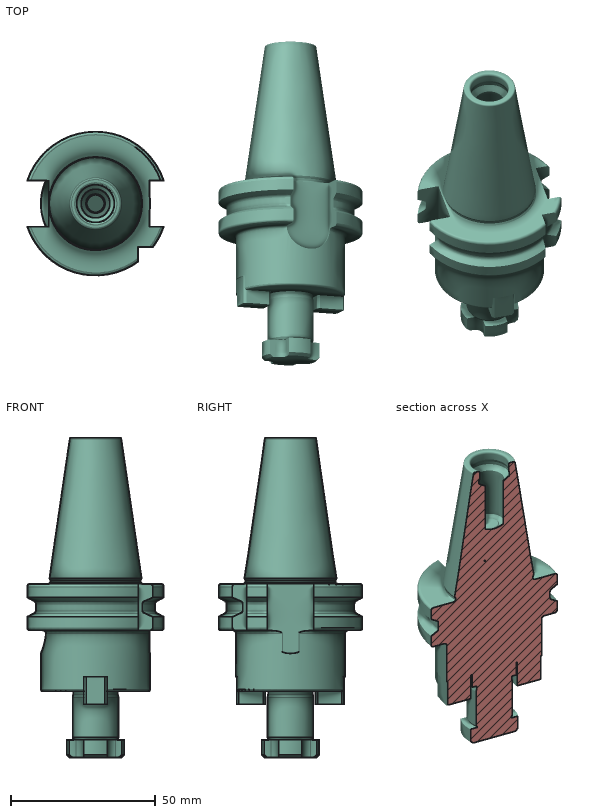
import cadquery as cq
import math


total_height = 110.8
head_top = 6.1
body_bottom = 22.9
key_bottom = 18.4
key_slot_top = 28.0
flange_bottom = 44.0
flange_top = 60.2
groove_mid = 52.1
gauge_height = 63.0
taper_bottom = 62.2

head_radius = 10.0
shaft_radius = 8.0
body_radius = 19.0
flange_radius = 24.9
groove_radius = 22.2
gauge_radius = 15.8
taper_slope = 7 / 48

head_chamfer = 1.0
tooth_width = 8.0
notch_corner_radius = 2.9

shaft_end_chamfer = 0.4
shaft_end_chamfer_height = 0.9
shaft_relief_depth = 0.2
shaft_relief_height = 1.0
shaft_relief_taper = 1.0

body_edge_radius = 0.8
body_top_radius = 0.9
key_width = 8.0
key_inner = 8.6
key_outer = 18.6
key_chamfer = 0.8

flange_edge_radius = 1.0
groove_mouth_width = 6.8
groove_root_radius = 1.0
groove_half_angle = 30
cut_clearance = 1.1

undercut_radius = 15.6
undercut_top = 61.4
undercut_bottom = 60.6
undercut_flare_radius = 16.2

slot_width = 16.0
left_slot_floor = 16.2
right_slot_floor = 18.7
notch_x = 14.7
notch_y = 15.1

mouth_fillet = 0.8
counterbore_radius = 6.5
relief_radius = 6.9
relief_start_depth = 3.1
relief_wall_depth = 4.1
relief_end_depth = 5.2
cone_end_depth = 6.6
bore_radius = 5.0
bore_depth = 24.4
bore_tip_slope = math.tan(math.radians(30))
plug_radius = 3.3
plug_chamfer = 0.3
taper_edge_radius = 0.5


def taper_radius(height):
    return gauge_radius - (height - gauge_height) * taper_slope


def revolve_profile(points):
    """Turn a closed outline of (radius, height) points about the Z axis."""
    return cq.Workplane("XZ").polyline(points).close().revolve(360, (0, 0), (0, 1))


def make_screw_head():
    head = cq.Workplane("XY").circle(head_radius).extrude(head_top)
    head = head.faces("<Z").edges().chamfer(head_chamfer)
    notch_size = head_radius
    notch_centre = tooth_width / 2 + notch_size / 2
    notches = (
        cq.Workplane("XY")
        .rect(2 * notch_centre, 2 * notch_centre, forConstruction=True)
        .vertices()
        .rect(notch_size, notch_size)
        .extrude(head_top)
        .edges("|Z")
        .fillet(notch_corner_radius)
    )
    return head.cut(notches)


def make_shaft():
    neck_radius = shaft_radius - shaft_relief_depth
    relief_bottom = body_bottom - shaft_relief_height
    return revolve_profile([
        (0, head_top),
        (shaft_radius - shaft_end_chamfer, head_top),
        (shaft_radius, head_top + shaft_end_chamfer_height),
        (shaft_radius, relief_bottom - shaft_relief_taper),
        (neck_radius, relief_bottom),
        (neck_radius, body_bottom),
        (0, body_bottom),
    ])


def make_body():
    body_height = flange_bottom - body_bottom
    body = cq.Workplane("XY").workplane(offset=body_bottom).circle(body_radius).extrude(body_height)
    return body.faces("<Z").edges().fillet(body_edge_radius)


def make_flange():
    flange_height = flange_top - flange_bottom
    flange = cq.Workplane("XY").workplane(offset=flange_bottom).circle(flange_radius).extrude(flange_height)
    flange = flange.edges().fillet(flange_edge_radius)

    mouth_half = groove_mouth_width / 2
    groove_depth = flange_radius - groove_radius
    root_half = mouth_half - groove_depth * math.tan(math.radians(groove_half_angle))
    outer_radius = flange_radius + cut_clearance
    groove = revolve_profile([
        (groove_radius, groove_mid - root_half),
        (flange_radius, groove_mid - mouth_half),
        (outer_radius, groove_mid - mouth_half),
        (outer_radius, groove_mid + mouth_half),
        (flange_radius, groove_mid + mouth_half),
        (groove_radius, groove_mid + root_half),
    ])
    root_edges = cq.selectors.RadiusNthSelector(0)
    groove = groove.edges("%CIRCLE").edges(root_edges).fillet(groove_root_radius)
    return flange.cut(groove)


def make_taper():
    return revolve_profile([
        (0, flange_top),
        (undercut_flare_radius, flange_top),
        (undercut_radius, undercut_bottom),
        (undercut_radius, undercut_top),
        (taper_radius(taper_bottom), taper_bottom),
        (taper_radius(total_height), total_height),
        (0, total_height),
    ])


def make_bore():
    """Counterbored blind hole with a relieved counterbore and a chamfered plug at its bottom."""
    tip_depth = bore_depth + (bore_radius - plug_radius) * bore_tip_slope
    return revolve_profile([
        (0, total_height),
        (counterbore_radius, total_height),
        (counterbore_radius, total_height - relief_start_depth),
        (relief_radius, total_height - relief_wall_depth),
        (relief_radius, total_height - relief_end_depth),
        (bore_radius, total_height - cone_end_depth),
        (bore_radius, total_height - bore_depth),
        (plug_radius, total_height - tip_depth),
        (plug_radius - plug_chamfer, total_height - tip_depth + plug_chamfer),
        (0, total_height - tip_depth + plug_chamfer),
    ])


def make_drive_slot(floor, side):
    """Radial slot on the +X (side = 1) or -X (side = -1) face, with a round lower end."""
    depth = flange_radius - floor
    half_width = slot_width / 2
    return (
        cq.Workplane("YZ")
        .workplane(offset=side * floor)
        .moveTo(-half_width, flange_top)
        .lineTo(-half_width, flange_bottom)
        .threePointArc((0, flange_bottom - half_width), (half_width, flange_bottom))
        .lineTo(half_width, flange_top)
        .close()
        .extrude(side * depth)
    )


def make_orientation_notch():
    flange_height = flange_top - flange_bottom
    return cq.Workplane("XY").box(
        flange_radius, flange_radius, flange_height, centered=False
    ).translate((notch_x, -notch_y - flange_radius, flange_bottom))


def add_drive_key(part, side):
    """Fit a chamfered key into a slot in the lower body edge at +Y (side = 1) or -Y (side = -1)."""
    slot_length = body_radius - key_inner
    slot_height = key_slot_top - body_bottom
    slot = (
        cq.Workplane("XY")
        .workplane(offset=body_bottom)
        .center(0, side * (key_inner + slot_length / 2))
        .rect(key_width, slot_length)
        .extrude(slot_height)
    )
    key = (
        cq.Workplane("XY")
        .workplane(offset=key_bottom)
        .center(0, side * (key_inner + key_outer) / 2)
        .rect(key_width, key_outer - key_inner)
        .extrude(key_slot_top - key_bottom)
        .edges("|Z")
        .chamfer(key_chamfer)
    )
    return part.cut(slot).union(key)


result = make_body().union(make_flange())
flange_underside = result.faces(cq.selectors.NearestToPointSelector((0, 0, flange_bottom)))
result = flange_underside.edges(cq.selectors.RadiusNthSelector(0)).fillet(body_top_radius)
result = result.union(make_shaft()).union(make_screw_head()).union(make_taper())
result = result.faces(">Z").edges().fillet(taper_edge_radius)
result = result.cut(make_bore())
result = result.faces(">Z").edges(cq.selectors.RadiusNthSelector(0)).fillet(mouth_fillet)
result = result.cut(make_drive_slot(left_slot_floor, -1))
result = result.cut(make_drive_slot(right_slot_floor, 1))
result = result.cut(make_orientation_notch())
for side in (-1, 1):
    result = add_drive_key(result, side)